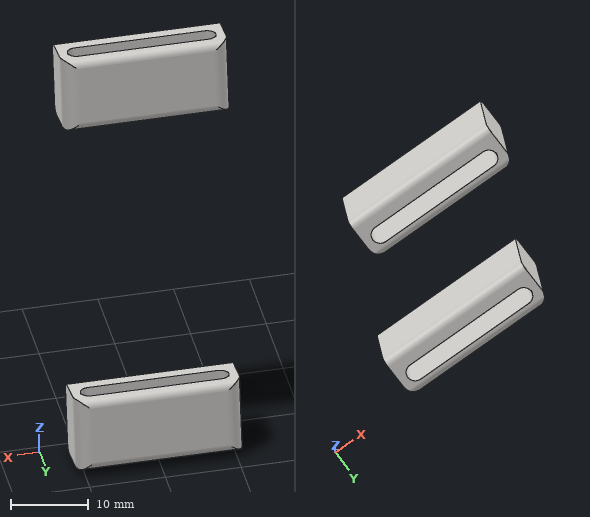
import cadquery as cq

width = 22.0
depth = 6.45
height = 10.15
edge_radius = 1.1
corner_radius = 2.0

slot_length = 19.6
slot_width = 2.45
slot_back_wall = 1.5

lean_angle = 9.0
block_spacing = 49.25
block_count = 2


def rounded_bar():
    """Bar along X with its four long edges rounded."""
    return cq.Workplane("XY").box(width, depth, height).edges("|X").fillet(edge_radius)


def plan_prism():
    """Upright prism whose two back corners are rounded."""
    return cq.Workplane("XY").box(width, depth, height).edges("|Z and >Y").fillet(corner_radius)


def slot_cutter():
    """Round-ended slot, nearer the back face than the front."""
    slot_y = depth / 2 - slot_back_wall - slot_width / 2
    return (
        cq.Workplane("XY")
        .center(0, slot_y)
        .slot2D(slot_length, slot_width)
        .extrude(height, both=True)
    )


def slotted_block(offset):
    """One block, moved along the leaning line by offset from its middle."""
    block = rounded_bar().intersect(plan_prism()).cut(slot_cutter())
    return block.translate((0, 0, offset)).rotate((0, 0, 0), (1, 0, 0), lean_angle)


slotted_blocks = []
for index in range(block_count):
    offset = (index - (block_count - 1) / 2) * block_spacing
    slotted_blocks.append(slotted_block(offset).solids().val())

result = cq.Compound.makeCompound(slotted_blocks)